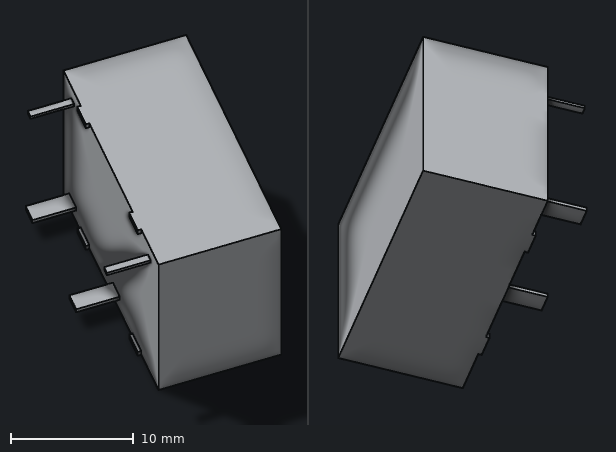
import cadquery as cq

BODY_WIDTH = 22.0
BODY_DEPTH = 10.7
BODY_HEIGHT = 16.0

PAD_WIDTH = 2.0
PAD_HEIGHT = 0.5
PAD_STANDOFF = 0.3
PAD_CENTER_OFFSET = 6.0

PIN_LENGTH = 3.8
CONTACT_PIN_WIDTH = 1.6
CONTACT_PIN_THICKNESS = 0.4
COIL_PIN_WIDTH = 0.65
COIL_PIN_THICKNESS = 0.3
PIN_ROW_SPACING = 12.7
FIRST_PIN_INSET = 2.15
FIRST_PIN_X = FIRST_PIN_INSET - BODY_WIDTH / 2
CONTACT_PIN_PITCH = 10.1
COIL_PIN_PITCH = 17.7


def make_body():
    """Plain rectangular housing lying behind the mounting face."""
    return cq.Workplane("XY").box(
        BODY_WIDTH, BODY_DEPTH, BODY_HEIGHT, centered=(True, False, True)
    )


def make_projections(centers, width, height, length):
    """Rectangular bars standing out of the mounting face at (x, z) centers."""
    return cq.Workplane("XZ").pushPoints(centers).rect(width, height).extrude(length)


def make_pads():
    """Four standoff pads, flush with the top and bottom of the housing."""
    pad_z = (BODY_HEIGHT - PAD_HEIGHT) / 2
    centers = [
        (side * PAD_CENTER_OFFSET, level * pad_z)
        for side in (-1, 1)
        for level in (-1, 1)
    ]
    return make_projections(centers, PAD_WIDTH, PAD_HEIGHT, PAD_STANDOFF)


def make_pin_row(pitch, row_z, width, thickness):
    """Two pins in one row, the first on the shared pin column."""
    centers = [(FIRST_PIN_X, row_z), (FIRST_PIN_X + pitch, row_z)]
    return make_projections(centers, width, thickness, PIN_LENGTH)


contact_pins = make_pin_row(
    CONTACT_PIN_PITCH, -PIN_ROW_SPACING / 2, CONTACT_PIN_WIDTH, CONTACT_PIN_THICKNESS
)
coil_pins = make_pin_row(
    COIL_PIN_PITCH, PIN_ROW_SPACING / 2, COIL_PIN_WIDTH, COIL_PIN_THICKNESS
)

result = make_body().union(make_pads()).union(contact_pins).union(coil_pins)